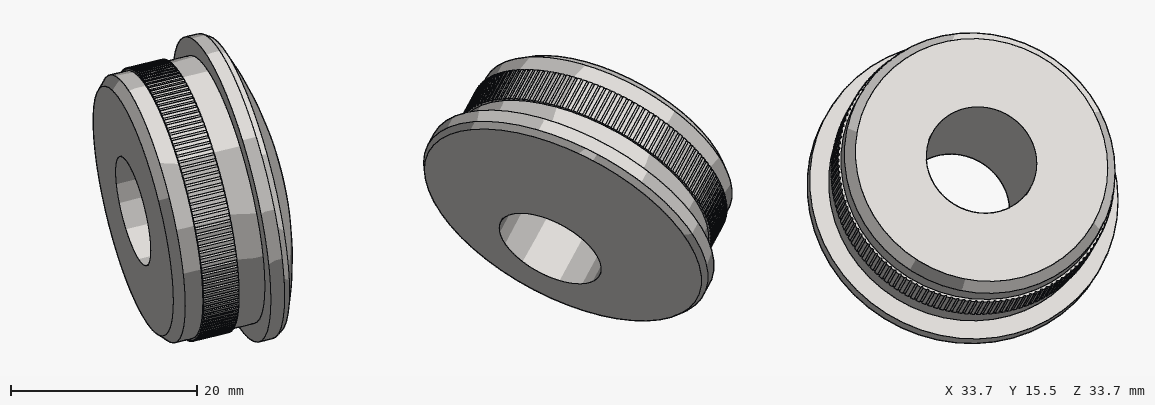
import cadquery as cq
import math

flange_diameter = 33.7
plug_diameter = 29.6
knurl_diameter = 30.2
hole_diameter = 12.05

lead_in = 1.0
knurl_start = 3.0
knurl_end = 7.0
flange_start = 10.0
flange_rim_end = 11.55
dome_start = 12.25
total_depth = 15.5

rim_bevel_width = 0.45

groove_count = 140
groove_radius = 0.125

flange_radius = flange_diameter / 2
plug_radius = plug_diameter / 2
knurl_radius = knurl_diameter / 2
hole_radius = hole_diameter / 2
dome_base_radius = flange_radius - rim_bevel_width


def dome_midpoint():
    """Point halfway along the dome arc, whose sphere is centred on the Y axis."""
    center_y = (total_depth**2 + hole_radius**2 - dome_start**2 - dome_base_radius**2) / (
        2 * (total_depth - dome_start)
    )
    sphere_radius = math.hypot(hole_radius, total_depth - center_y)
    rim_angle = math.asin(hole_radius / sphere_radius)
    base_angle = math.asin(dome_base_radius / sphere_radius)
    middle_angle = (rim_angle + base_angle) / 2
    return (
        sphere_radius * math.sin(middle_angle),
        center_y + sphere_radius * math.cos(middle_angle),
    )


def make_plug():
    """Domed, flanged plug with its through hole, revolved about the Y axis."""
    return (
        cq.Workplane("XY")
        .moveTo(hole_radius, 0)
        .lineTo(plug_radius - lead_in, 0)
        .lineTo(plug_radius, lead_in)
        .lineTo(plug_radius, flange_start)
        .lineTo(flange_radius, flange_start)
        .lineTo(flange_radius, flange_rim_end)
        .lineTo(dome_base_radius, dome_start)
        .threePointArc(dome_midpoint(), (hole_radius, total_depth))
        .close()
        .revolve(360, (0, 0, 0), (0, 1, 0))
    )


def on_circle(radius, angle):
    """Point on a circle about the axis, in the ring plane."""
    return (radius * math.cos(angle), radius * math.sin(angle))


def make_knurl():
    """Raised ring whose outer edge alternates round grooves and narrow lands."""
    pitch = 2 * math.pi / groove_count
    half_groove = 2 * math.asin(groove_radius / (2 * knurl_radius))
    groove_bottom_radius = knurl_radius - groove_radius

    ring_plane = cq.Plane(origin=(0, knurl_start, 0), xDir=(1, 0, 0), normal=(0, 1, 0))
    outline = cq.Workplane(ring_plane).moveTo(*on_circle(knurl_radius, -half_groove))
    for index in range(groove_count):
        angle = index * pitch
        outline = outline.threePointArc(
            on_circle(groove_bottom_radius, angle),
            on_circle(knurl_radius, angle + half_groove),
        )
        outline = outline.threePointArc(
            on_circle(knurl_radius, angle + pitch / 2),
            on_circle(knurl_radius, angle + pitch - half_groove),
        )
    ring_bore_radius = (hole_radius + plug_radius) / 2
    return outline.close().moveTo(0, 0).circle(ring_bore_radius).extrude(knurl_end - knurl_start)


result = make_plug().union(make_knurl())